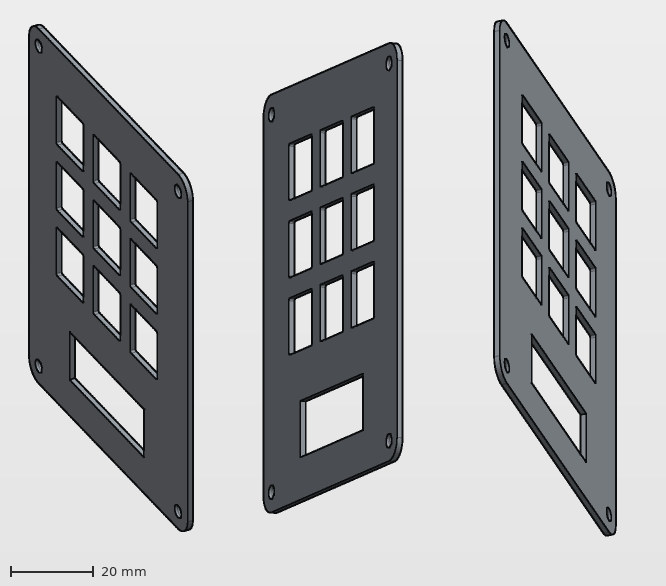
import cadquery as cq

PLATE_WIDTH = 82.0
PLATE_HEIGHT = 103.0
PLATE_THICKNESS = 1.5
CORNER_RADIUS = 5.0

SCREW_HOLE_DIAMETER = 3.4
SCREW_SPAN_X = PLATE_WIDTH - 2 * CORNER_RADIUS
SCREW_SPAN_Z = PLATE_HEIGHT - 2 * CORNER_RADIUS

KEY_COLUMNS = 3
KEY_ROWS = 3
KEY_PITCH = 19.05
KEY_SIZE = 14.0
KEY_CORNER_RADIUS = 0.5

CUTOUT_CENTER_X = -0.8
KEY_GRID_CENTER_Z = 11.4

DISPLAY_WIDTH = 38.4
DISPLAY_HEIGHT = 13.9
DISPLAY_CENTER_Z = -34.1


def plate_prism(width, height, center_x=0.0, center_z=0.0):
    """Upright rectangular block, as thick as the plate and centred on its mid-plane."""
    block = cq.Workplane("XY").box(width, PLATE_THICKNESS, height)
    return block.translate((center_x, 0, center_z))


def make_plate():
    return plate_prism(PLATE_WIDTH, PLATE_HEIGHT).edges("|Y").fillet(CORNER_RADIUS)


def make_screw_holes():
    return (
        cq.Workplane("XZ")
        .rect(SCREW_SPAN_X, SCREW_SPAN_Z, forConstruction=True)
        .vertices()
        .circle(SCREW_HOLE_DIAMETER / 2)
        .extrude(PLATE_THICKNESS, both=True)
    )


def make_key_cutouts():
    key = plate_prism(KEY_SIZE, KEY_SIZE, CUTOUT_CENTER_X, KEY_GRID_CENTER_Z)
    key = key.edges("|Y").fillet(KEY_CORNER_RADIUS)
    cutouts = cq.Workplane("XY")
    for column in range(KEY_COLUMNS):
        for row in range(KEY_ROWS):
            offset_x = (column - (KEY_COLUMNS - 1) / 2) * KEY_PITCH
            offset_z = (row - (KEY_ROWS - 1) / 2) * KEY_PITCH
            cutouts = cutouts.add(key.translate((offset_x, 0, offset_z)))
    return cutouts.combine()


def make_display_window():
    return plate_prism(DISPLAY_WIDTH, DISPLAY_HEIGHT, CUTOUT_CENTER_X, DISPLAY_CENTER_Z)


result = (
    make_plate()
    .cut(make_screw_holes())
    .cut(make_key_cutouts())
    .cut(make_display_window())
)